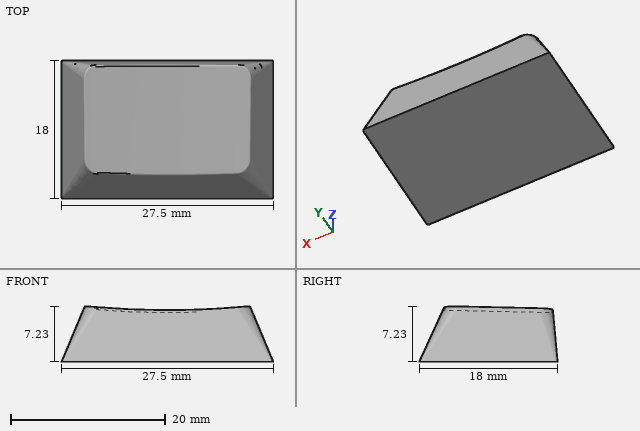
import cadquery as cq
import math

LENGTH = 27.52
DEPTH = 18.0
BASE_CORNER_RADIUS = 0.28

LOFT_HEIGHT = 7.57
SIDE_INSET = 3.16
FRONT_INSET = 3.47
BACK_INSET = 0.7
TOP_CORNER_RADIUS = 1.9

DISH_RADIUS = 107.33
DISH_TILT = 1.3
DISH_CENTRE_HEIGHT = 6.58
DISH_CUTTER_LENGTH = 2 * DEPTH

RIM_FILLET = 0.22
SHEET_THICKNESS = 0.28

top_length = LENGTH - 2 * SIDE_INSET
top_depth = DEPTH - FRONT_INSET - BACK_INSET
top_centre_y = (FRONT_INSET - BACK_INSET) / 2


def rounded_rectangle(length, depth, radius, centre_y, height):
    """Closed wire of a rounded rectangle lying at the given height."""
    sheet = cq.Workplane().rect(length, depth).extrude(SHEET_THICKNESS).edges("|Z").fillet(radius)
    wire = sheet.faces("<Z").wires().val()
    return wire.moved(cq.Location(cq.Vector(0, centre_y, height)))


def tapered_body():
    """Straight-sided taper whose corner radius grows from base to top."""
    base = rounded_rectangle(LENGTH, DEPTH, BASE_CORNER_RADIUS, 0, 0)
    top = rounded_rectangle(top_length, top_depth, TOP_CORNER_RADIUS, top_centre_y, LOFT_HEIGHT)
    return cq.Workplane(cq.Solid.makeLoft([base, top], True))


def dish_cutter():
    """Tilted cylinder resting on the lowest line of the dish."""
    tilt = math.radians(DISH_TILT)
    along = cq.Vector(0, math.cos(tilt), -math.sin(tilt))
    upward = cq.Vector(0, math.sin(tilt), math.cos(tilt))
    dish_centre = cq.Vector(0, top_centre_y, DISH_CENTRE_HEIGHT)
    start = dish_centre + upward * DISH_RADIUS - along * (DISH_CUTTER_LENGTH / 2)
    return cq.Workplane(cq.Solid.makeCylinder(DISH_RADIUS, DISH_CUTTER_LENGTH, start, along))


keycap = tapered_body().cut(dish_cutter())
result = keycap.faces(">Z").edges().fillet(RIM_FILLET)